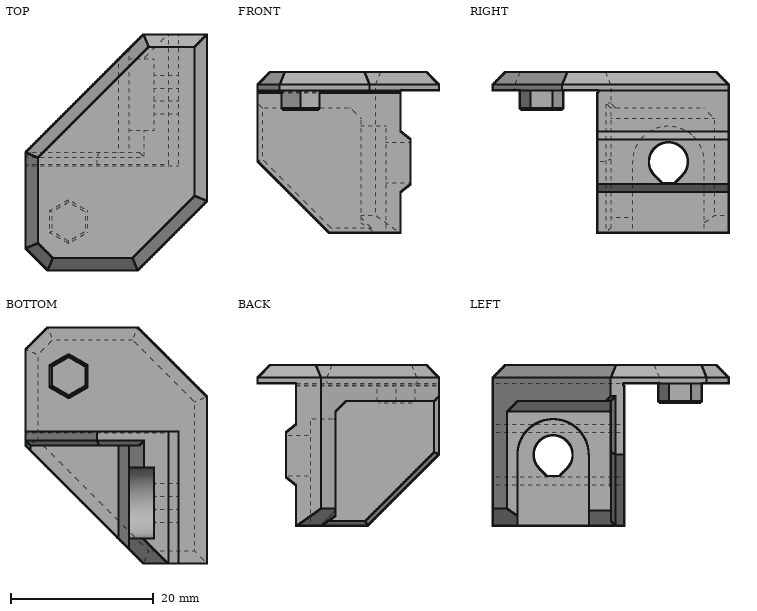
import cadquery as cq
import math

LENGTH_X = 25.4
LENGTH_Y = 33.05
HEIGHT = 22.5

PLATE_THICKNESS = 2.58
PLATE_RIM = 0.8
BEVEL_HEIGHT = PLATE_THICKNESS - PLATE_RIM
BEVEL_INSET = 1.75
FRONT_LEFT_CUT = 3.1
FRONT_RIGHT_CUT = 9.72
BACK_LEFT_CUT = 16.52
SLANT_START_Y = LENGTH_Y - BACK_LEFT_CUT

BODY_X = 20.03
BODY_FRONT_Y = 14.6
LOWER_CUT = 10.0
RELIEF_SIZE = 0.2

POCKET_FRONT_Y = SLANT_START_Y
POCKET_TOP_Z = -5.05
POCKET_DEPTH = 14.5
POCKET_EDGE_CHAMFER = 0.7
ROOF_CHAMFER = 1.5
WALL_FOOT_CHAMFER = 2.1
SLANT_FOOT_CHAMFER = 2.4

SEAT_Y = 24.6
SEAT_Z = -12.55
SEAT_RADIUS = 5.0
SEAT_FLOOR_X = 18.0
HOLE_RADIUS = 2.7
HOLE_FLAT_DROP = 2.95
RIB_BASE_WIDTH = 8.53
RIB_TIP_WIDTH = 6.28
RIB_HEIGHT = 1.42

PEG_X = 6.05
PEG_Y = 6.85
PEG_ACROSS_CORNERS = 6.1
PEG_LENGTH = 2.78
PEG_CHAMFER = 0.3

OVERCUT = 3.3


def prism_along_x(points, start, length):
    """Extrude a YZ outline in +X."""
    return cq.Workplane("YZ", origin=(start, 0, 0)).polyline(points).close().extrude(length)


def prism_along_y(points, start, length):
    """Extrude an XZ outline in +Y."""
    return cq.Workplane("XZ", origin=(0, start, 0)).polyline(points).close().extrude(-length)


def make_plate():
    outline = [
        (0, FRONT_LEFT_CUT),
        (FRONT_LEFT_CUT, 0),
        (LENGTH_X - FRONT_RIGHT_CUT, 0),
        (LENGTH_X, FRONT_RIGHT_CUT),
        (LENGTH_X, LENGTH_Y),
        (BACK_LEFT_CUT, LENGTH_Y),
        (0, SLANT_START_Y),
    ]
    plate = cq.Workplane("XY").polyline(outline).close().extrude(-PLATE_THICKNESS)
    return plate.faces(">Z").chamfer(BEVEL_HEIGHT, BEVEL_INSET)


def make_body():
    outline = [
        (0, BODY_FRONT_Y),
        (BODY_X, BODY_FRONT_Y),
        (BODY_X, LENGTH_Y),
        (BACK_LEFT_CUT, LENGTH_Y),
        (0, SLANT_START_Y),
    ]
    body = (
        cq.Workplane("XY", origin=(0, 0, -HEIGHT))
        .polyline(outline).close().extrude(HEIGHT - PLATE_THICKNESS)
    )
    slanted_foot = body.faces("<Z").edges(cq.selectors.NearestToPointSelector(
        (BACK_LEFT_CUT / 2, (SLANT_START_Y + LENGTH_Y) / 2, -HEIGHT)))
    body = slanted_foot.chamfer(SLANT_FOOT_CHAMFER)

    relief = [
        (BODY_FRONT_Y, -PLATE_THICKNESS),
        (BODY_FRONT_Y + RELIEF_SIZE, -PLATE_THICKNESS),
        (BODY_FRONT_Y + RELIEF_SIZE, -PLATE_THICKNESS - RELIEF_SIZE),
        (BODY_FRONT_Y, -PLATE_THICKNESS - 2 * RELIEF_SIZE),
    ]
    return body.cut(prism_along_x(relief, 0, BODY_X))


def make_lower_cut():
    corner = [(0, -HEIGHT), (LOWER_CUT, -HEIGHT), (0, LOWER_CUT - HEIGHT)]
    return prism_along_y(corner, 0, LENGTH_Y)


def make_pocket():
    mouth_y = POCKET_FRONT_Y - POCKET_EDGE_CHAMFER
    profile = [
        (0, -HEIGHT),
        (POCKET_DEPTH, -HEIGHT),
        (POCKET_DEPTH, POCKET_TOP_Z - ROOF_CHAMFER),
        (POCKET_DEPTH - ROOF_CHAMFER, POCKET_TOP_Z),
        (POCKET_EDGE_CHAMFER, POCKET_TOP_Z),
        (0, POCKET_TOP_Z + POCKET_EDGE_CHAMFER),
    ]
    pocket = prism_along_y(profile, mouth_y, LENGTH_Y + OVERCUT - mouth_y)

    foot = [
        (POCKET_DEPTH, -HEIGHT),
        (POCKET_DEPTH + WALL_FOOT_CHAMFER, -HEIGHT),
        (POCKET_DEPTH, -HEIGHT + WALL_FOOT_CHAMFER),
    ]
    pocket = pocket.union(prism_along_y(foot, mouth_y, SEAT_Y - SEAT_RADIUS - mouth_y))

    wall_outline = [
        (0, OVERCUT),
        (0, LOWER_CUT - HEIGHT),
        (LOWER_CUT, -HEIGHT),
        (BODY_X + OVERCUT, -HEIGHT),
        (BODY_X + OVERCUT, OVERCUT),
    ]
    wall_lip = (
        cq.Workplane("XZ", origin=(0, mouth_y, 0))
        .polyline(wall_outline).close().extrude(-POCKET_EDGE_CHAMFER, taper=45)
    )
    return pocket.cut(wall_lip)


def make_seat():
    seat = cq.Workplane("YZ", origin=(0, SEAT_Y, SEAT_Z)).circle(SEAT_RADIUS).extrude(SEAT_FLOOR_X)
    slot = cq.Workplane("XY").box(
        SEAT_FLOOR_X, 2 * SEAT_RADIUS, HEIGHT + SEAT_Z, centered=(False, True, False)
    ).translate((0, SEAT_Y, -HEIGHT))
    return seat.union(slot)


def make_hole():
    length = BODY_X + RIB_HEIGHT
    tangent = HOLE_RADIUS * math.sqrt(0.5)
    flat_half_width = HOLE_RADIUS * math.sqrt(2) - HOLE_FLAT_DROP
    return (
        cq.Workplane("YZ", origin=(0, SEAT_Y, SEAT_Z))
        .moveTo(-tangent, -tangent)
        .threePointArc((0, HOLE_RADIUS), (tangent, -tangent))
        .lineTo(flat_half_width, -HOLE_FLAT_DROP)
        .lineTo(-flat_half_width, -HOLE_FLAT_DROP)
        .close()
        .extrude(length)
    )


def make_rib():
    outer_x = BODY_X + RIB_HEIGHT
    profile = [
        (BODY_X, SEAT_Z + RIB_BASE_WIDTH / 2),
        (outer_x, SEAT_Z + RIB_TIP_WIDTH / 2),
        (outer_x, SEAT_Z - RIB_TIP_WIDTH / 2),
        (BODY_X, SEAT_Z - RIB_BASE_WIDTH / 2),
    ]
    return prism_along_y(profile, BODY_FRONT_Y, LENGTH_Y - BODY_FRONT_Y)


def make_peg():
    return (
        cq.Workplane("XY", origin=(PEG_X, PEG_Y, -PLATE_THICKNESS))
        .transformed(rotate=(0, 0, 90))
        .polygon(6, PEG_ACROSS_CORNERS)
        .extrude(-PEG_LENGTH)
        .faces("<Z").chamfer(PEG_CHAMFER)
    )


body = make_body().cut(make_lower_cut()).cut(make_pocket()).cut(make_seat())
body = body.union(make_rib()).cut(make_hole())
result = make_plate().union(body).union(make_peg())